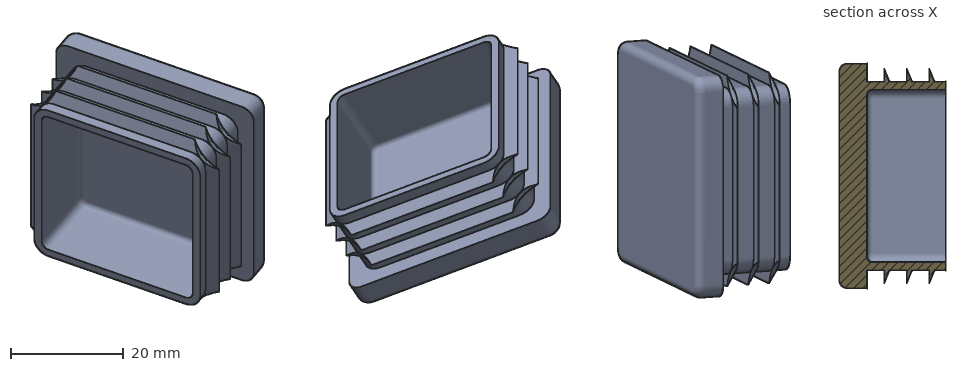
import cadquery as cq
import math


cap_side = 40.0
cap_thickness = 5.0
cap_corner_radius = 2.5
cap_edge_radius = 1.5

insert_side = 33.6
insert_length = 14.0
insert_corner_radius = 3.0

wall_thickness = 1.5
cavity_depth = insert_length
cavity_floor_radius = 0.9

fin_count = 3
fin_pitch = 4.0
first_fin_offset = 3.0
fin_side = 38.15
fin_height = 1.0
fin_relief_radius = 7.0


def rounded_square(y, side, corner_radius, length):
    """Square prism with rounded corners, extruded toward -Y from the plane at y."""
    block = cq.Workplane("XZ", origin=(0, y, 0)).rect(side, side).extrude(length)
    return block.edges("|Y").fillet(corner_radius)


def make_cap():
    cap = rounded_square(cap_thickness, cap_side, cap_corner_radius, cap_thickness)
    return cap.faces(">Y").edges().fillet(cap_edge_radius)


def make_insert():
    return rounded_square(0, insert_side, insert_corner_radius, insert_length)


def make_cavity():
    side = insert_side - 2 * wall_thickness
    corner_radius = insert_corner_radius - wall_thickness
    floor_y = cavity_depth - insert_length
    cavity = rounded_square(floor_y, side, corner_radius, cavity_depth)
    return cavity.faces(">Y").edges().fillet(cavity_floor_radius)


def make_fin_outline():
    """Closed outline of a fin: straight sides joined by S-shaped corners.

    At each corner a concave arc touches the rounded corner of the insert on the
    diagonal and runs into a small convex arc at either end of the straight sides.
    """
    half = fin_side / 2
    arc_center = insert_side / 2 - insert_corner_radius
    relief_reach = insert_corner_radius + fin_relief_radius
    relief_center = arc_center + relief_reach / math.sqrt(2)

    run = relief_center - arc_center
    rise = relief_center - half
    tip_radius = (run**2 + rise**2 - fin_relief_radius**2) / (2 * (fin_relief_radius - rise))

    tip_center_offset = half - tip_radius
    join_angle = math.atan2(relief_center - tip_center_offset, run)
    middle_angle = (math.pi / 2 + join_angle) / 2
    touch = arc_center + insert_corner_radius / math.sqrt(2)

    def on_tip_arc(angle):
        along = arc_center + tip_radius * math.cos(angle)
        outward = tip_center_offset + tip_radius * math.sin(angle)
        return along, outward

    middle = on_tip_arc(middle_angle)
    join = on_tip_arc(join_angle)
    corner = [(arc_center, half), middle, join, (touch, touch), join[::-1], middle[::-1], (half, arc_center)]

    outline = cq.Workplane("XZ").moveTo(-arc_center, half)
    for turn in range(4):
        angle = -turn * math.pi / 2
        cos_turn = round(math.cos(angle))
        sin_turn = round(math.sin(angle))
        start, *points = [(x * cos_turn - z * sin_turn, x * sin_turn + z * cos_turn) for x, z in corner]
        outline = outline.lineTo(*start)
        for through, end in zip(points[::2], points[1::2]):
            outline = outline.threePointArc(through, end)
    return outline.close()


def make_fin():
    """Fin with its flat back at y = 0, sloping down to the insert toward -Y."""
    overhang = (fin_side - insert_side) / 2
    slope_angle = math.degrees(math.atan2(overhang, fin_height))
    tip_corner_radius = insert_corner_radius + overhang
    tip_sketch = cq.Sketch().rect(fin_side, fin_side).vertices().fillet(tip_corner_radius)
    sloped_plate = cq.Workplane("XZ").placeSketch(tip_sketch).extrude(fin_height, taper=slope_angle)
    return sloped_plate.intersect(make_fin_outline().extrude(fin_height))


plug = make_cap().union(make_insert())
fin = make_fin()
for index in range(fin_count):
    plug = plug.union(fin.translate((0, -first_fin_offset - index * fin_pitch, 0)))

result = plug.cut(make_cavity())